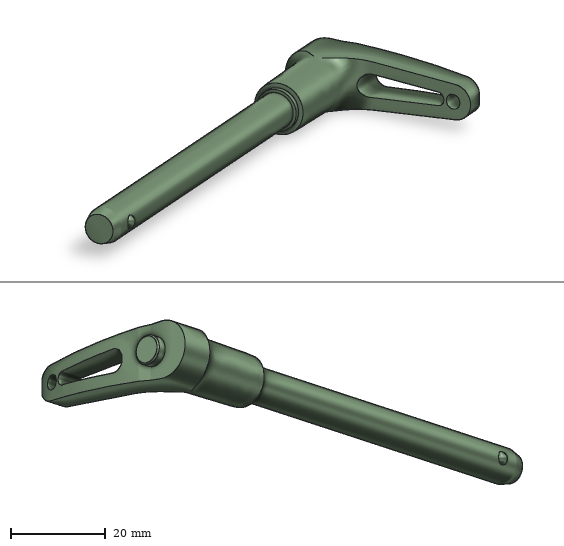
import cadquery as cq
import math

LENGTH = 116.8

button_radius = 3.3
button_height = 2.2
button_chamfer = 0.4

shank_radius = 4.0
tip_radius = 3.3
tip_length = 2.7
tip_y = button_height - LENGTH

ball_radius = 1.5
ball_reach = 4.8
ball_from_tip = 7.1

barrel_top_radius = 6.1
barrel_end_radius = 5.8
barrel_lip_radius = 5.7
collar_radius = 4.7
barrel_taper_end = -26.9
barrel_end = -29.0
collar_end = -30.1

head_radius = 6.37
head_x = -2.51
arm_tip_radius = 4.0
arm_end_x = 35.3
arm_tip_x = arm_end_x - arm_tip_radius

crown_radius = 92.3
crown_peak_x = 5.8
crown_peak_y = 0.7
crown_start_x = 3.5
crown_end_x = 35.0
ramp_start_x = 0.6
underside_end_y = -8.9
crown_end_rounding = 0.5

flare_radius = 5.7
flare_center_y = -12.9
flare_top_y = flare_center_y + flare_radius
flare_outer_radius = barrel_top_radius + flare_radius

slot_wide_x = 10.9
slot_wide_radius = 2.63
slot_narrow_x = 27.2
slot_narrow_radius = 1.5
lanyard_hole_x = 31.02
lanyard_hole_radius = 1.6

cut_depth = 23.4


def tapered_slot(x_left, r_left, x_right, r_right):
    """Prism along Y, symmetric about Y = 0, around two circles and their tangents."""
    lean = math.asin((r_left - r_right) / (x_right - x_left))

    def tangent_point(x, r, side):
        return (x + r * math.sin(lean), side * r * math.cos(lean))

    return (
        cq.Workplane("XZ")
        .moveTo(*tangent_point(x_left, r_left, 1))
        .lineTo(*tangent_point(x_right, r_right, 1))
        .threePointArc((x_right + r_right, 0), tangent_point(x_right, r_right, -1))
        .lineTo(*tangent_point(x_left, r_left, -1))
        .threePointArc((x_left - r_left, 0), tangent_point(x_left, r_left, 1))
        .close()
        .extrude(cut_depth, both=True)
    )


def crown_y(x):
    """Height of the arched back of the arm at x."""
    drop = crown_radius - math.sqrt(crown_radius**2 - (x - crown_peak_x) ** 2)
    return crown_peak_y - drop


def make_arm_profile():
    """Side profile of the arm, starting from the pin axis, as thick as the head."""
    crown_middle_x = (crown_start_x + crown_end_x) / 2
    crown_corner = (crown_end_x, crown_y(crown_end_x), 0)
    return (
        cq.Workplane("XY", origin=(0, 0, -head_radius))
        .moveTo(0, 0)
        .lineTo(ramp_start_x, 0)
        .lineTo(crown_start_x, crown_y(crown_start_x))
        .threePointArc(
            (crown_middle_x, crown_y(crown_middle_x)),
            (crown_end_x, crown_y(crown_end_x)),
        )
        .lineTo(arm_end_x, underside_end_y)
        .lineTo(flare_outer_radius, flare_top_y)
        .lineTo(0, flare_top_y)
        .close()
        .extrude(2 * head_radius)
        .edges(cq.NearestToPointSelector(crown_corner))
        .fillet(crown_end_rounding)
    )


def make_flared_head():
    """Solid of revolution whose concave flank widens from the barrel to the handle."""
    arc_middle = flare_radius * math.sqrt(0.5)
    return (
        cq.Workplane("XY")
        .moveTo(0, 0)
        .lineTo(flare_outer_radius, 0)
        .lineTo(flare_outer_radius, flare_top_y)
        .threePointArc(
            (flare_outer_radius - arc_middle, flare_center_y + arc_middle),
            (barrel_top_radius, flare_center_y),
        )
        .lineTo(0, flare_center_y)
        .close()
        .revolve(360, (0, 0, 0), (0, 1, 0))
    )


def make_handle():
    """Head and arm trimmed to the handle outline, with the openings cut through."""
    arm = make_arm_profile()
    head = make_flared_head()
    outline = tapered_slot(head_x, head_radius, arm_tip_x, arm_tip_radius)
    handle = arm.union(head).intersect(outline)
    slot = tapered_slot(
        slot_wide_x, slot_wide_radius, slot_narrow_x, slot_narrow_radius
    )
    lanyard_hole = (
        cq.Workplane("XZ")
        .center(lanyard_hole_x, 0)
        .circle(lanyard_hole_radius)
        .extrude(cut_depth, both=True)
    )
    return handle.cut(slot).cut(lanyard_hole)


def make_pin():
    """Button, barrel, collar and shank revolved as one stepped profile."""
    profile = [
        (0, button_height),
        (button_radius - button_chamfer, button_height),
        (button_radius, button_height - button_chamfer),
        (button_radius, flare_center_y),
        (barrel_top_radius, flare_center_y),
        (barrel_end_radius, barrel_taper_end),
        (barrel_lip_radius, barrel_end),
        (collar_radius, barrel_end),
        (collar_radius, collar_end),
        (shank_radius, collar_end),
        (shank_radius, tip_y + tip_length),
        (tip_radius, tip_y),
        (0, tip_y),
    ]
    return (
        cq.Workplane("XY").polyline(profile).close().revolve(360, (0, 0, 0), (0, 1, 0))
    )


def make_ball(side):
    x = side * (ball_reach - ball_radius)
    ball = cq.Workplane("XY").sphere(ball_radius)
    return ball.translate((x, tip_y + ball_from_tip, 0))


result = make_handle().union(make_pin())
for side in (-1, 1):
    result = result.union(make_ball(side))